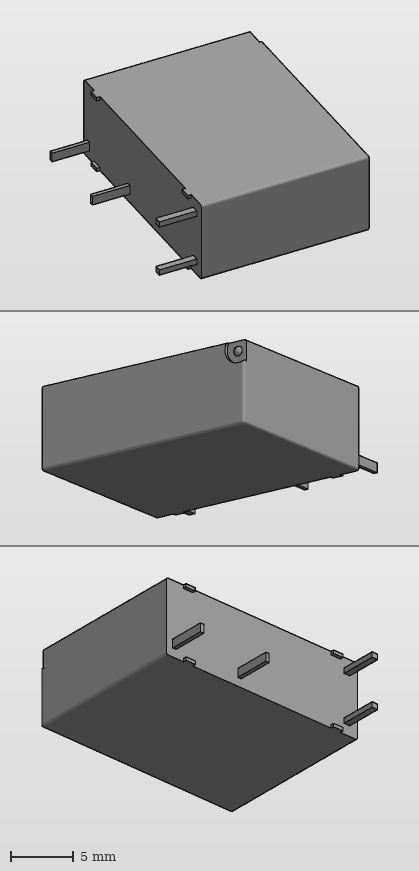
import cadquery as cq

case_width = 20.5
case_depth = 15.31
case_height = 7.2
edge_radius = 0.25

pin_length = 3.4
pin_row_z = 2.34
blade_width = 0.35
blade_height = 0.85
blade_x = -9.39
blade_pitch = 7.0
post_width = 0.6
post_height = 0.51
post_x = 9.1

tab_width = 1.0
tab_height = 0.33
tab_length = 0.3
tab_x = 7.91

recess_radius = 1.33
recess_inset = 0.62
recess_depth = 0.3
dome_radius = 0.4
dome_inset = 0.86


def make_case():
    """Box with every edge rounded except those around the mounting face."""
    box = cq.Workplane("XY").box(case_width, case_depth, case_height)
    box = box.translate((0, case_depth / 2, 0))
    return box.edges("|Y or >Y").fillet(edge_radius)


def bar(x, z, width, height, length):
    """Rectangular bar standing out of the mounting face toward -Y."""
    return cq.Workplane("XZ").center(x, z).rect(width, height).extrude(length)


def corner_workplane(inset, y):
    """Plane facing -Y, centred the same inset from both sides of the recessed corner."""
    return cq.Workplane("XZ", origin=(inset - case_width / 2, y, case_height / 2 - inset))


def make_recess():
    """Disc of material removed at the corner."""
    return corner_workplane(recess_inset, case_depth).circle(recess_radius).extrude(recess_depth)


def make_dome():
    """Spherical cap rising from the recess floor to the level of the back face."""
    sphere_radius = (dome_radius**2 + recess_depth**2) / (2 * recess_depth)
    sphere = corner_workplane(dome_inset, case_depth - sphere_radius).sphere(sphere_radius)
    base = corner_workplane(dome_inset, case_depth).circle(dome_radius).extrude(recess_depth)
    return sphere.intersect(base)


result = make_case().cut(make_recess()).union(make_dome())

for x in (blade_x, blade_x + blade_pitch):
    result = result.union(bar(x, -pin_row_z, blade_width, blade_height, pin_length))

for z in (-pin_row_z, pin_row_z):
    result = result.union(bar(post_x, z, post_width, post_height, pin_length))

tab_z = (case_height - tab_height) / 2
for x in (-tab_x, tab_x):
    for z in (-tab_z, tab_z):
        result = result.union(bar(x, z, tab_width, tab_height, tab_length))